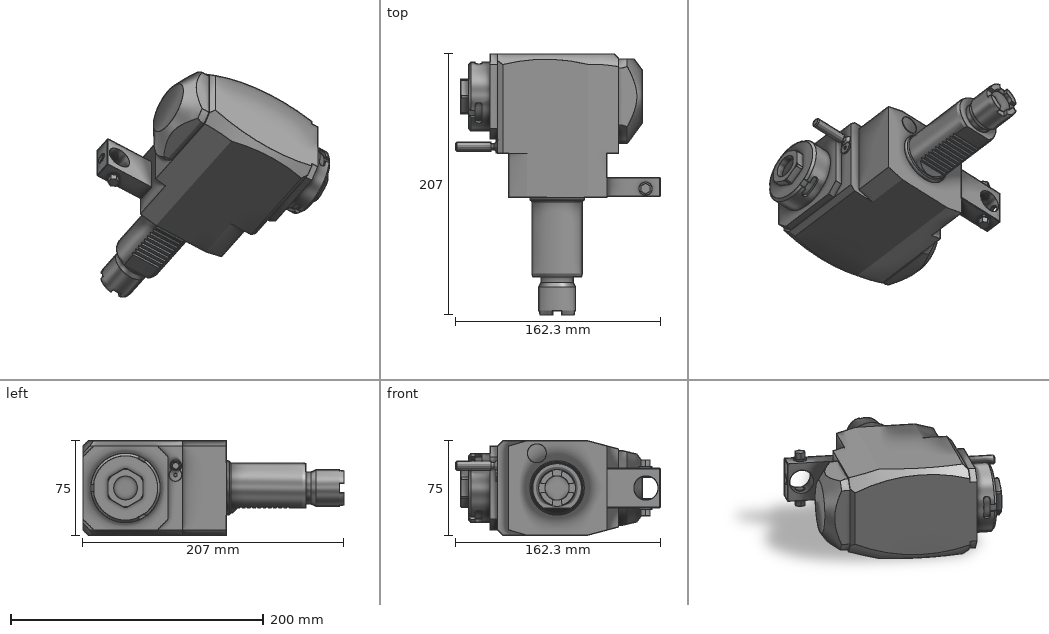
import cadquery as cq
import math


HOUSING_LENGTH = 113.8
HOUSING_HEIGHT = 75.0
HALF_HEIGHT = HOUSING_HEIGHT / 2
HEAD_LEFT = -47.2
HEAD_RIGHT = 48.8
HEAD_START = 35.0
HEAD_EDGE_CHAMFER = 4.2
REAR_CORNER_CHAMFER = 3.4
STEM_LEFT = -38.5
STEM_RIGHT = 39.5
STEM_FLAT_START = -23.8
STEM_LEFT_DROP = 4.3
TAPER_START = 24.2
TAPER_ANGLE = 15.0
TAPER_SLOPE = math.tan(math.radians(TAPER_ANGLE))
REAR_BEVEL_RADIUS = 135.0
REAR_BEVEL_CENTER_X = -9.0
REAR_BEVEL_DROP = 4.2
REAR_BEVEL_DEPTH = 24.0
PLUG_X = -16.0
PLUG_Z = 27.5
PLUG_RADIUS = 7.5
PLUG_RECESS = 0.5

SHANK_RADIUS = 20.0
SHANK_LENGTH = 63.0
SHANK_CHAMFER_LENGTH = 2.5
SHANK_CHAMFER_DEPTH = 0.7
COLLAR_RADIUS = 21.6
COLLAR_LENGTH = 2.4
COLLAR_FILLET = 1.0
SHANK_ROOT_RADIUS = 20.6
SHANK_ROOT_END = 3.7
NECK_RADIUS = 12.8
NECK_END = 67.2
DRIVE_RADIUS = 14.6
DRIVE_START = 71.0
DRIVE_END = 207.0 - HOUSING_LENGTH
DRIVE_SLOT_DEPTH = 3.4
DRIVE_TIP_TAPER = 0.5
DRIVE_BORE_RADIUS = 9.6
DRIVE_BORE_DEPTH = 3.8
DRIVE_SLOT_INNER_WIDTH = 6.8
DRIVE_SLOT_OUTER_WIDTH = 8.0
SHANK_FLAT_Z = -15.8
FLAT_START = 8.7
FLAT_RAMP = 5.0
TOOTH_COUNT = 10
TOOTH_PITCH = 4.15
TOOTH_DEPTH = 1.1
FIRST_TOOTH = 11.5

SPINDLE_Y = 80.0
PLATE_THICKNESS = 5.8
PLATE_FRONT = 46.2
PLATE_HALF_HEIGHT = 33.2
PLATE_CHAMFER = 8.5
PLATE_LEFT = HEAD_LEFT - PLATE_THICKNESS
NUT_LEFT = -70.2
NUT_RADIUS = 27.5
NUT_CHAMFER = 2.0
NUT_SLOT_WIDTH = 5.4
NUT_SLOT_X = -62.2
NUT_SLOT_DEPTH = 2.4
NUT_SLOT_HALF_ANGLE = 14.0
NUT_NOTCH_WIDTH = 5.7
HEX_LEFT = -76.5
HEX_FLATS = 27.6
HEX_CORNER_RADIUS = 15.4
HEX_CHAMFER = 0.7
HEX_BORE_RADIUS = 9.4
HEX_BORE_DEPTH = 5.5

CAP_RADIUS = 37.3
CAP_CYLINDER_END = 55.6
CAP_RIGHT = 67.5
CAP_END_RADIUS = 21.1
CAP_BACK_FLAT = 109.8
CAP_LAND_Z = 29.6
CAP_LAND_END = 51.8
CAP_TAPER_SLOPE = 0.235

PIN_Y = 40.2
PIN_Z = 17.6
PIN_RADIUS = 3.6
PIN_LEFT = -80.5
PIN_TIP_CHAMFER = 1.0
PIN_END = -52.5
PIN_NECK_RADIUS = 2.5
PIN_FLARE_START = -49.9
PIN_FLARE_RADIUS = 4.6
NOZZLE_Y = 40.4
NOZZLE_Z = 10.3
NOZZLE_RADIUS = 5.0
NOZZLE_HEIGHT = 1.2
NOZZLE_BORE_RADIUS = 1.4

BRACKET_RIGHT = PIN_LEFT + 162.33
BRACKET_FRONT = 0.8
BRACKET_THICKNESS = 15.0
BRACKET_HALF_HEIGHT = 15.7
BRACKET_CHAMFER = 0.5
BRACKET_HOLE_X = 70.4
BRACKET_HOLE_RADIUS = 9.6
SCREW_Y = 7.0
SCREW_FLANGE_RADIUS = 5.2
SCREW_FLANGE_HEIGHT = 1.3
SCREW_HEX_FLATS = 7.4
SCREW_TOP = 22.2
SCREW_X = 70.1
SCREW_TIP_RADIUS = 4.0
SCREW_TIP_Z = 8.4
SIDE_BORE_RADIUS = 4.2

OVERLAP = 1.0


def box(x_range, y_range, z_range):
    """Box between the given limits on each axis."""
    limits = (x_range, y_range, z_range)
    sizes = [high - low for low, high in limits]
    corner = tuple(low for low, high in limits)
    return cq.Workplane("XY").box(*sizes, centered=False).translate(corner)


def revolve_along_x(profile, y, z):
    """Revolve (x, radius) points around the X-parallel axis through (y, z)."""
    solid = cq.Workplane("XY").polyline(profile).close().revolve(360, (0, 0, 0), (1, 0, 0))
    return solid.translate((0, y, z))


def cylinder_x(x_start, x_end, radius, y, z):
    """Cylinder along X between two x positions."""
    return cq.Workplane("YZ", origin=(x_start, y, z)).circle(radius).extrude(x_end - x_start)


def taper_z(x):
    """Height of the tapered upper face at x."""
    return HALF_HEIGHT - (x - TAPER_START) * TAPER_SLOPE


def mirrored_outline(upper):
    """Close an upper outline with its mirror image below z = 0."""
    return upper + [(x, -z) for x, z in reversed(upper)]


def extrude_along_y(outline, y_start, y_end):
    """Extrude an XZ outline from y_start to y_end."""
    return cq.Workplane("XZ", origin=(0, y_start, 0)).polyline(outline).close().extrude(y_start - y_end)


def make_rear_bevel():
    """Conical cutter that bevels the upper rear edge along a large arc."""
    inner = REAR_BEVEL_RADIUS - REAR_BEVEL_DROP
    outer = inner + REAR_BEVEL_DEPTH
    top = HOUSING_LENGTH + OVERLAP
    profile = [
        (inner - OVERLAP, top),
        (outer, top),
        (outer, HOUSING_LENGTH - REAR_BEVEL_DEPTH),
    ]
    cutter = cq.Workplane("XY").polyline(profile).close().revolve(360, (0, 0, 0), (0, 1, 0))
    return cutter.translate((REAR_BEVEL_CENTER_X, 0, HALF_HEIGHT - REAR_BEVEL_RADIUS))


def make_housing():
    """Head and stem with tapered right side and beveled rear."""
    head_outline = mirrored_outline([
        (HEAD_LEFT, HALF_HEIGHT - HEAD_EDGE_CHAMFER),
        (HEAD_LEFT + HEAD_EDGE_CHAMFER, HALF_HEIGHT),
        (TAPER_START, HALF_HEIGHT),
        (HEAD_RIGHT, taper_z(HEAD_RIGHT)),
    ])
    stem_outline = mirrored_outline([
        (STEM_LEFT, HALF_HEIGHT - STEM_LEFT_DROP),
        (STEM_FLAT_START, HALF_HEIGHT),
        (TAPER_START, HALF_HEIGHT),
        (STEM_RIGHT, taper_z(STEM_RIGHT)),
    ])
    head = extrude_along_y(head_outline, HEAD_START, HOUSING_LENGTH)
    head = head.faces(">X").edges(">Y").chamfer(REAR_CORNER_CHAMFER)
    bevel = make_rear_bevel()
    head = head.cut(bevel).cut(bevel.mirror("XY"))
    stem = extrude_along_y(stem_outline, 0, HEAD_START + OVERLAP)
    plug = cq.Workplane("XZ", origin=(PLUG_X, 0, PLUG_Z)).circle(PLUG_RADIUS).extrude(-PLUG_RECESS)
    return head.union(stem).cut(plug)


def make_shank():
    """Round shank, neck and slotted drive end as one turned body."""
    profile = [
        (0, -OVERLAP),
        (SHANK_ROOT_RADIUS, -OVERLAP),
        (SHANK_ROOT_RADIUS, COLLAR_LENGTH),
        (SHANK_RADIUS, SHANK_ROOT_END),
        (SHANK_RADIUS, SHANK_LENGTH - SHANK_CHAMFER_LENGTH),
        (SHANK_RADIUS - SHANK_CHAMFER_DEPTH, SHANK_LENGTH),
        (NECK_RADIUS, SHANK_LENGTH),
        (NECK_RADIUS, NECK_END),
        (DRIVE_RADIUS, DRIVE_START),
        (DRIVE_RADIUS, DRIVE_END - DRIVE_SLOT_DEPTH),
        (DRIVE_RADIUS - DRIVE_TIP_TAPER, DRIVE_END),
        (0, DRIVE_END),
    ]
    points = [(radius, -distance) for radius, distance in profile]
    shank = cq.Workplane("XY").polyline(points).close().revolve(360, (0, 0, 0), (0, 1, 0))
    collar = cq.Workplane("XZ").circle(COLLAR_RADIUS).extrude(COLLAR_LENGTH)
    shank = shank.union(collar.faces("<Y").edges().fillet(COLLAR_FILLET))
    return shank.cut(make_drive_cut()).cut(make_serrated_flat())


def make_drive_cut():
    """Bore and four outward-widening slots in the drive end."""
    bore = cq.Workplane("XZ", origin=(0, -DRIVE_END, 0)).circle(DRIVE_BORE_RADIUS).extrude(-DRIVE_BORE_DEPTH)
    slot_outline = [
        (0, -DRIVE_SLOT_INNER_WIDTH / 2),
        (DRIVE_BORE_RADIUS, -DRIVE_SLOT_INNER_WIDTH / 2),
        (DRIVE_RADIUS, -DRIVE_SLOT_OUTER_WIDTH / 2),
        (DRIVE_RADIUS, DRIVE_SLOT_OUTER_WIDTH / 2),
        (DRIVE_BORE_RADIUS, DRIVE_SLOT_INNER_WIDTH / 2),
        (0, DRIVE_SLOT_INNER_WIDTH / 2),
    ]
    slot = extrude_along_y(slot_outline, -DRIVE_END, -DRIVE_END + DRIVE_SLOT_DEPTH)
    cut = bore
    for angle in (0, 90, 180, 270):
        cut = cut.union(slot.rotate((0, 0, 0), (0, 1, 0), angle))
    return cut


def make_serrated_flat():
    """Flat under the shank with a ramp at the housing and a row of V grooves."""
    points = [(-FLAT_START + FLAT_RAMP, SHANK_FLAT_Z - FLAT_RAMP), (-FLAT_START, SHANK_FLAT_Z)]
    for index in range(TOOTH_COUNT):
        center = -FIRST_TOOTH - index * TOOTH_PITCH
        points += [
            (center + TOOTH_DEPTH, SHANK_FLAT_Z),
            (center, SHANK_FLAT_Z + TOOTH_DEPTH),
            (center - TOOTH_DEPTH, SHANK_FLAT_Z),
        ]
    flat_end = -SHANK_LENGTH
    points += [(flat_end, SHANK_FLAT_Z), (flat_end, SHANK_FLAT_Z - FLAT_RAMP)]
    return cq.Workplane("YZ").polyline(points).close().extrude(SHANK_RADIUS, both=True)


def make_plate():
    """Octagonal-cornered plate on the left of the head."""
    plate = box(
        (PLATE_LEFT, HEAD_LEFT + OVERLAP),
        (PLATE_FRONT, HOUSING_LENGTH),
        (-PLATE_HALF_HEIGHT, PLATE_HALF_HEIGHT),
    )
    return plate.edges("|X").chamfer(PLATE_CHAMFER)


def make_nut_slot():
    """Curved slot with round ends and an axial notch, on the +Y side of the nut."""
    floor_radius = NUT_RADIUS - NUT_SLOT_DEPTH
    outer_radius = NUT_RADIUS + OVERLAP
    half_angle = math.radians(NUT_SLOT_HALF_ANGLE)
    reach_y = outer_radius * math.cos(half_angle)
    reach_z = outer_radius * math.sin(half_angle)
    slot = (
        cq.Workplane("YZ", origin=(NUT_SLOT_X - NUT_SLOT_WIDTH / 2, 0, 0))
        .moveTo(0, 0).lineTo(reach_y, -reach_z)
        .threePointArc((outer_radius, 0), (reach_y, reach_z))
        .close().extrude(NUT_SLOT_WIDTH)
    )
    end = cq.Workplane("XZ", origin=(NUT_SLOT_X, 0, 0)).circle(NUT_SLOT_WIDTH / 2).extrude(-outer_radius)
    for angle in (-NUT_SLOT_HALF_ANGLE, NUT_SLOT_HALF_ANGLE):
        slot = slot.union(end.rotate((0, 0, 0), (1, 0, 0), angle))
    slot = slot.cut(cylinder_x(NUT_LEFT, PLATE_LEFT, floor_radius, 0, 0))
    notch = box(
        (NUT_LEFT, NUT_SLOT_X),
        (floor_radius, outer_radius),
        (-NUT_NOTCH_WIDTH / 2, NUT_NOTCH_WIDTH / 2),
    )
    return slot.union(notch)


def make_nut():
    """Round clamping nut with three wrench slots."""
    profile = [
        (NUT_LEFT, 0),
        (NUT_LEFT, NUT_RADIUS - NUT_CHAMFER),
        (NUT_LEFT + NUT_CHAMFER, NUT_RADIUS),
        (PLATE_LEFT + OVERLAP, NUT_RADIUS),
        (PLATE_LEFT + OVERLAP, 0),
    ]
    nut = revolve_along_x(profile, 0, 0)
    slot = make_nut_slot()
    for angle in (0, 120, 240):
        nut = nut.cut(slot.rotate((0, 0, 0), (1, 0, 0), angle))
    return nut.translate((0, SPINDLE_Y, 0))


def make_hex():
    """Hexagon in front of the nut, corners turned down and chamfered."""
    corner_diameter = HEX_FLATS / math.cos(math.radians(30))
    length = NUT_LEFT - HEX_LEFT + OVERLAP
    hexagon = (
        cq.Workplane("YZ", origin=(HEX_LEFT, 0, 0))
        .polygon(6, corner_diameter).extrude(length)
        .rotate((0, 0, 0), (1, 0, 0), 30)
        .translate((0, SPINDLE_Y, 0))
    )
    envelope = cylinder_x(HEX_LEFT, HEX_LEFT + length, HEX_CORNER_RADIUS, SPINDLE_Y, 0)
    envelope = envelope.faces("<X").edges().chamfer(HEX_CHAMFER)
    return hexagon.intersect(envelope)


def make_cap():
    """Conical cap on the right, trimmed by a flat land and a taper above and below and by a flat at the back."""
    profile = [
        (HEAD_RIGHT - OVERLAP, 0),
        (HEAD_RIGHT - OVERLAP, CAP_RADIUS),
        (CAP_CYLINDER_END, CAP_RADIUS),
        (CAP_RIGHT, CAP_END_RADIUS),
        (CAP_RIGHT, 0),
    ]
    trim = extrude_along_y(
        mirrored_outline([
            (HEAD_RIGHT - OVERLAP, CAP_LAND_Z),
            (CAP_LAND_END, CAP_LAND_Z),
            (CAP_RIGHT, CAP_LAND_Z - (CAP_RIGHT - CAP_LAND_END) * CAP_TAPER_SLOPE),
        ]),
        0,
        CAP_BACK_FLAT,
    )
    return revolve_along_x(profile, SPINDLE_Y, 0).intersect(trim)


def make_pin():
    """Stop pin with necked root and flared foot."""
    profile = [
        (PIN_LEFT, 0),
        (PIN_LEFT, PIN_RADIUS - PIN_TIP_CHAMFER),
        (PIN_LEFT + PIN_TIP_CHAMFER, PIN_RADIUS),
        (PIN_END, PIN_RADIUS),
        (PIN_END, PIN_NECK_RADIUS),
        (PIN_FLARE_START, PIN_NECK_RADIUS),
        (HEAD_LEFT, PIN_FLARE_RADIUS),
        (HEAD_LEFT + OVERLAP, PIN_FLARE_RADIUS),
        (HEAD_LEFT + OVERLAP, 0),
    ]
    return revolve_along_x(profile, PIN_Y, PIN_Z)


def make_nozzle():
    """Low coolant nozzle disc below the pin."""
    start = HEAD_LEFT - NOZZLE_HEIGHT
    disc = cylinder_x(start, HEAD_LEFT + OVERLAP, NOZZLE_RADIUS, NOZZLE_Y, NOZZLE_Z)
    bore = cylinder_x(start, HEAD_LEFT, NOZZLE_BORE_RADIUS, NOZZLE_Y, NOZZLE_Z)
    return disc.cut(bore)


def make_screw():
    """Flanged hexagon screw on top of the bracket, its tip reaching into the bracket hole."""
    base = cq.Workplane("XY", origin=(SCREW_X, SCREW_Y, BRACKET_HALF_HEIGHT))
    flange = base.circle(SCREW_FLANGE_RADIUS).extrude(SCREW_FLANGE_HEIGHT)
    tip = base.circle(SCREW_TIP_RADIUS).extrude(SCREW_TIP_Z - BRACKET_HALF_HEIGHT)
    corner_diameter = SCREW_HEX_FLATS / math.cos(math.radians(30))
    head = base.polygon(6, corner_diameter).extrude(SCREW_TOP - BRACKET_HALF_HEIGHT)
    head = head.rotate((SCREW_X, SCREW_Y, 0), (SCREW_X, SCREW_Y, 1), 30)
    return flange.union(tip).union(head)


def make_bracket():
    """Side bracket with a hole along Y, a side bore to its right and a screw above and below."""
    bracket = box(
        (STEM_RIGHT - OVERLAP, BRACKET_RIGHT),
        (BRACKET_FRONT, BRACKET_FRONT + BRACKET_THICKNESS),
        (-BRACKET_HALF_HEIGHT, BRACKET_HALF_HEIGHT),
    )
    bracket = bracket.faces(">X or <Y").edges("not <X").chamfer(BRACKET_CHAMFER)
    hole = (
        cq.Workplane("XZ", origin=(BRACKET_HOLE_X, 0, 0))
        .circle(BRACKET_HOLE_RADIUS).extrude(-BRACKET_FRONT - BRACKET_THICKNESS)
    )
    side_bore = cylinder_x(BRACKET_HOLE_X, BRACKET_RIGHT, SIDE_BORE_RADIUS, SCREW_Y, 0)
    bracket = bracket.cut(hole).cut(side_bore)
    screw = make_screw()
    return bracket.union(screw).union(screw.mirror("XY"))


result = make_housing()
for component in (
    make_shank(),
    make_plate(),
    make_nut(),
    make_hex(),
    make_cap(),
    make_pin(),
    make_nozzle(),
    make_bracket(),
):
    result = result.union(component)
hex_bore = cylinder_x(HEX_LEFT, HEX_LEFT + HEX_BORE_DEPTH, HEX_BORE_RADIUS, SPINDLE_Y, 0)
result = result.cut(hex_bore)